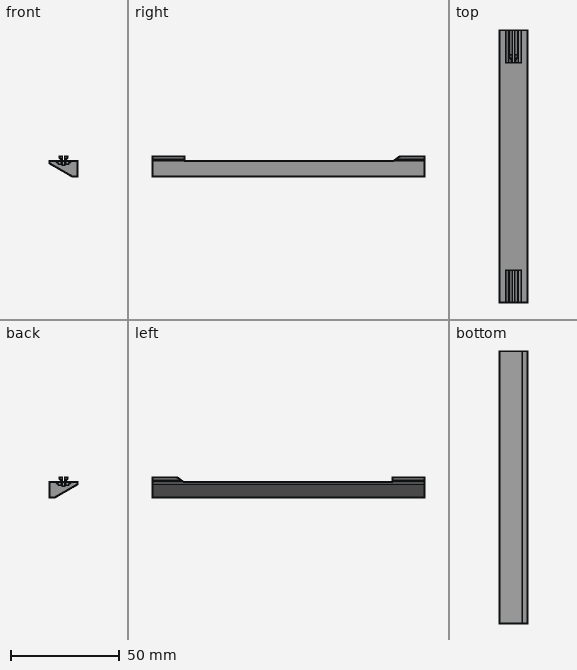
import cadquery as cq
import math

length = 125.0
width = 13.0
body_height = 7.2
lip_thickness = 1.1
underside_angle = 30

recess_length = 14.9
recess_depth = 1.5
recess_half_width = 3.6

total_height = 9.5
slit_half_width = 0.5
slit_extra_depth = 0.4
leg_thickness = 0.44
barb_reach = 2.0
barb_nose_radius = 0.5

ramp_start = 11.2
ramp_run = 2.5
ramp_drop = 1.8

half_length = length / 2
half_width = width / 2
recess_floor = body_height - recess_depth
slit_floor = recess_floor - slit_extra_depth


def extrude_along_y(points, y_start, y_length):
    """Extrude an X-Z outline from y_start toward +Y."""
    plane = cq.Workplane("XZ", origin=(0, y_start, 0))
    return plane.polyline(points).close().extrude(-y_length)


def make_body():
    underside_run = (body_height - lip_thickness) / math.tan(math.radians(underside_angle))
    outline = [
        (-half_width, body_height),
        (half_width, body_height),
        (half_width, 0),
        (underside_run - half_width, 0),
        (-half_width, body_height - lip_thickness),
    ]
    return extrude_along_y(outline, -half_length, length)


def make_recess(y_start):
    floor_half_width = recess_half_width - recess_depth
    trough = extrude_along_y(
        [
            (-recess_half_width, body_height),
            (-floor_half_width, recess_floor),
            (floor_half_width, recess_floor),
            (recess_half_width, body_height),
        ],
        y_start,
        recess_length,
    )
    slit = extrude_along_y(
        [
            (-slit_half_width, body_height),
            (-slit_half_width, slit_floor),
            (slit_half_width, slit_floor),
            (slit_half_width, body_height),
        ],
        y_start,
        recess_length,
    )
    return trough.union(slit)


def make_leg(side, y_start):
    """Barbed leg on the -X (side = -1) or +X (side = 1) flank of the slit."""
    inner = side * slit_half_width
    outer_offset = slit_half_width + leg_thickness
    nose_x = barb_reach - barb_nose_radius
    nose_z = total_height - barb_nose_radius
    tangent_offset = barb_nose_radius * math.sqrt(0.5)
    tangent_x = nose_x + tangent_offset
    tangent_z = nose_z - tangent_offset
    underside_foot_z = tangent_z - (tangent_x - outer_offset)
    return (
        cq.Workplane("XZ", origin=(0, y_start, 0))
        .moveTo(inner, slit_floor)
        .lineTo(inner, total_height)
        .lineTo(side * nose_x, total_height)
        .threePointArc((side * barb_reach, nose_z), (side * tangent_x, tangent_z))
        .lineTo(side * outer_offset, underside_foot_z)
        .lineTo(side * outer_offset, slit_floor)
        .close()
        .extrude(-recess_length)
    )


def make_ramp_cutter():
    """Wedge above the lead-in slope, running down to the closed end of the recess."""
    y_top = half_length - ramp_start
    y_end = half_length - recess_length
    z_end = total_height - (y_top - y_end) * ramp_drop / ramp_run
    return (
        cq.Workplane("YZ", origin=(-barb_reach, 0, 0))
        .polyline([
            (y_top, total_height),
            (y_end, z_end),
            (y_end, total_height),
        ])
        .close()
        .extrude(2 * barb_reach)
    )


result = make_body()
for recess_start in (-half_length, half_length - recess_length):
    result = result.cut(make_recess(recess_start))
    for leg_side in (-1, 1):
        leg = make_leg(leg_side, recess_start)
        if recess_start > 0:
            leg = leg.cut(make_ramp_cutter())
        result = result.union(leg)